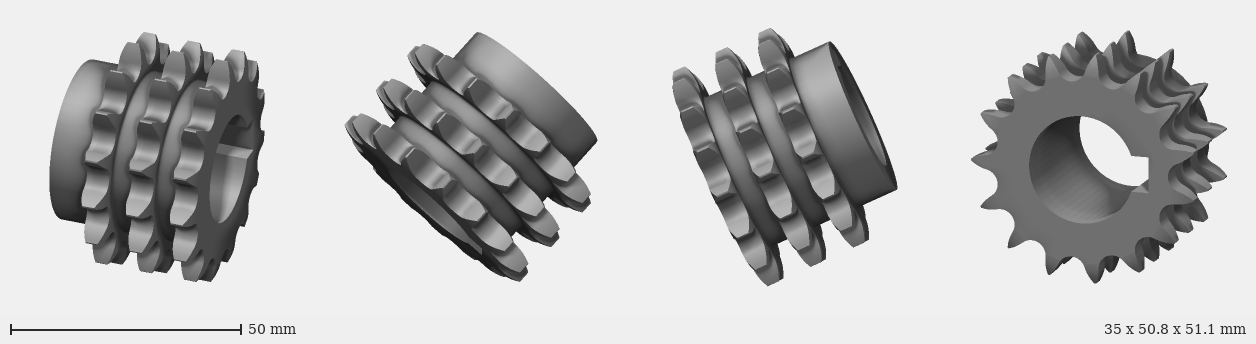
import cadquery as cq
import math

teeth = 15
chain_pitch = 9.525
roller_diameter = 6.35
row_pitch = 10.24
row_count = 3

overall_length = 35.0
tooth_width = 5.2
hub_radius = 17.7
hub_fillet = 0.4

bore_radius = 12.0
key_width = 8.0
key_depth = 3.3

tip_pitch_factor = 1.25
seat_factor = 0.505
flank_factor = 0.12
widest_seat_angle = 140.0
seat_angle_per_tooth = 90.0
relief_factor = 0.13

tooth_angle = 360.0 / teeth
pitch_radius = chain_pitch / 2 / math.sin(math.radians(tooth_angle / 2))
tip_radius = pitch_radius + (tip_pitch_factor * chain_pitch - roller_diameter) / 2
seat_radius = seat_factor * roller_diameter
flank_radius = flank_factor * roller_diameter * (teeth + 2)
half_seat_angle = (widest_seat_angle - seat_angle_per_tooth / teeth) / 2

relief_radius = chain_pitch
relief_inset = relief_factor * chain_pitch
relief_height = math.sqrt(relief_radius**2 - (relief_radius - relief_inset) ** 2)
relief_start_radius = tip_radius - relief_height

cutter_clearance = 2.0


def polar(radius, degrees):
    """Point at a distance and direction from the origin."""
    angle = math.radians(degrees)
    return radius * math.cos(angle), radius * math.sin(angle)


def shifted(point, offset):
    return point[0] + offset[0], point[1] + offset[1]


def relief_points(face_x, direction):
    """Start, middle and end of the relief arc on a tooth face; direction points into the tooth."""
    half_sweep = math.asin(relief_height / relief_radius) / 2
    middle_inset = relief_radius * (1 - math.cos(half_sweep))
    middle_radius = relief_start_radius + relief_radius * math.sin(half_sweep)
    return (
        (face_x, relief_start_radius),
        (face_x + direction * middle_inset, middle_radius),
        (face_x + direction * relief_inset, tip_radius),
    )


def hub_blank():
    """Plain cylinder over the full length."""
    return cq.Workplane("YZ").circle(hub_radius).extrude(overall_length)


def row_blank(left_x):
    """Toothless disc of one row, turned about X, with its sides relieved toward the rim."""
    right_x = left_x + tooth_width
    left_start, left_middle, left_end = relief_points(left_x, 1)
    right_start, right_middle, right_end = relief_points(right_x, -1)
    return (
        cq.Workplane("XY")
        .moveTo(left_x, 0)
        .lineTo(*left_start)
        .threePointArc(left_middle, left_end)
        .lineTo(*right_end)
        .threePointArc(right_middle, right_start)
        .lineTo(right_x, 0)
        .close()
        .revolve(360, (0, 0, 0), (1, 0, 0))
    )


def root_fillet(face_x, direction):
    """Ring that rounds the corner between the hub and a row face; direction points off the face."""
    fillet_top = hub_radius + hub_fillet
    ring_bottom = hub_radius - hub_fillet
    toe_x = face_x + direction * hub_fillet
    arc_middle = shifted((toe_x, fillet_top), polar(hub_fillet, -90 - direction * 45))
    return (
        cq.Workplane("XY")
        .moveTo(face_x, ring_bottom)
        .lineTo(face_x, fillet_top)
        .threePointArc(arc_middle, (toe_x, hub_radius))
        .lineTo(toe_x, ring_bottom)
        .close()
        .revolve(360, (0, 0, 0), (1, 0, 0))
    )


def gap_cutter():
    """Space between two teeth, centred on +Y: roller seat, two convex flanks, open outward."""
    seat_centre = (pitch_radius, 0.0)
    flank_direction = 180.0 - half_seat_angle
    seat_end = shifted(seat_centre, polar(seat_radius, flank_direction))
    flank_centre = shifted(seat_centre, polar(seat_radius + flank_radius, flank_direction))

    centre_distance = math.hypot(*flank_centre)
    centre_angle = math.degrees(math.atan2(flank_centre[1], flank_centre[0]))
    squares = tip_radius**2 + centre_distance**2 - flank_radius**2
    angle_to_tip = math.degrees(math.acos(squares / (2 * tip_radius * centre_distance)))
    tip = polar(tip_radius, centre_angle - angle_to_tip)
    start_angle = flank_direction - 180.0
    end_angle = math.degrees(math.atan2(tip[1] - flank_centre[1], tip[0] - flank_centre[0]))
    flank_middle = shifted(flank_centre, polar(flank_radius, (start_angle + end_angle) / 2))

    seat_bottom = (pitch_radius - seat_radius, 0)
    outer_edge = tip_radius + cutter_clearance
    return (
        cq.Workplane("YZ")
        .moveTo(seat_end[0], -seat_end[1])
        .threePointArc(seat_bottom, seat_end)
        .threePointArc(flank_middle, tip)
        .lineTo(outer_edge, tip[1])
        .lineTo(outer_edge, -tip[1])
        .lineTo(tip[0], -tip[1])
        .threePointArc((flank_middle[0], -flank_middle[1]), (seat_end[0], -seat_end[1]))
        .close()
        .extrude(overall_length)
    )


def bore_cutter():
    """Bore with a keyway whose floor lies at bore_radius + key_depth."""
    bore = cq.Workplane("YZ").circle(bore_radius).extrude(overall_length)
    keyway_reach = bore_radius + key_depth
    keyway = (
        cq.Workplane("YZ")
        .center(keyway_reach / 2, 0)
        .rect(keyway_reach, key_width)
        .extrude(overall_length)
    )
    return bore.union(keyway)


body = hub_blank()
for row in range(row_count):
    row_left = overall_length - tooth_width - row * row_pitch
    row_right = row_left + tooth_width
    body = body.union(row_blank(row_left))
    body = body.union(root_fillet(row_left, -1))
    if row > 0:
        body = body.union(root_fillet(row_right, 1))

body = body.cut(bore_cutter())

cutter = gap_cutter().val()
gap_cutters = []
for gap in range(teeth):
    gap_cutters.append(cutter.rotate(cq.Vector(0, 0, 0), cq.Vector(1, 0, 0), gap * tooth_angle))

result = cq.Workplane(body.val().cut(*gap_cutters))